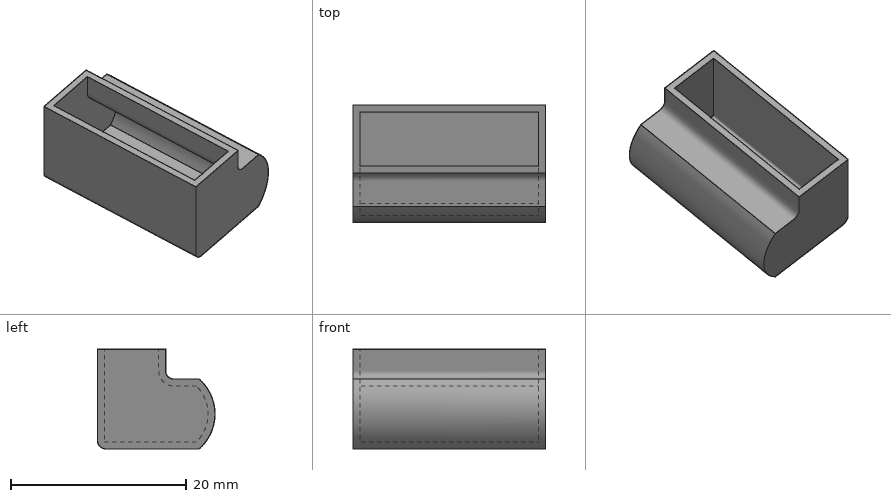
import cadquery as cq

length = 22.0
total_depth = 13.43
total_height = 11.39
neck_depth = 7.8
nose_height = 8.0
nose_bulge = 1.83
bottom_radius = 1.0
neck_radius = 0.9
wall = 0.8

neck_front_y = -neck_depth
nose_tip_y = -total_depth
nose_corner_y = nose_tip_y + nose_bulge


def outer_body():
    """Side profile extruded along X, with its two long edges rounded."""
    body = (
        cq.Workplane("YZ")
        .moveTo(0, 0)
        .lineTo(0, total_height)
        .lineTo(neck_front_y, total_height)
        .lineTo(neck_front_y, nose_height)
        .lineTo(nose_corner_y, nose_height)
        .threePointArc((nose_tip_y, nose_height / 2), (nose_corner_y, 0))
        .close()
        .extrude(length / 2, both=True)
    )
    bottom_back_edge = cq.selectors.NearestToPointSelector((0, 0, 0))
    neck_corner_edge = cq.selectors.NearestToPointSelector((0, neck_front_y, nose_height))
    body = body.edges("|X").edges(bottom_back_edge).fillet(bottom_radius)
    return body.edges("|X").edges(neck_corner_edge).fillet(neck_radius)


def hollow(body):
    """Shell the body inwards, leaving the top of the neck open."""
    return body.faces(">Z").shell(-wall)


result = hollow(outer_body())